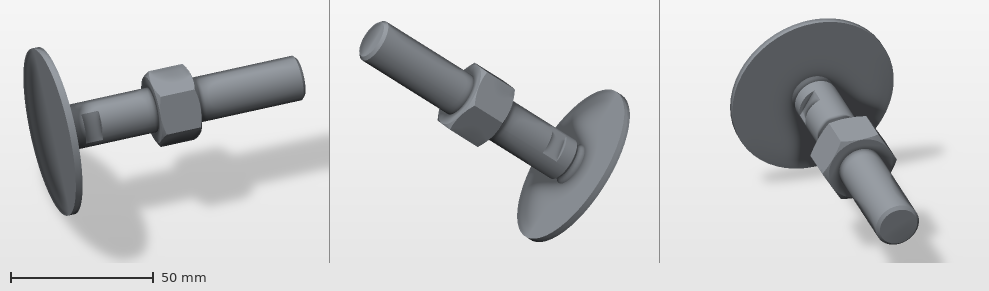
import cadquery as cq
import math

TOTAL_LENGTH = 92.0

PLATE_DIAMETER = 60.0
PLATE_THICKNESS = 2.5
NECK_BASE_DIAMETER = 15.6
NECK_TOP_DIAMETER = 11.2

STUD_DIAMETER = 16.0
STUD_START = 5.0
STUD_LENGTH = TOTAL_LENGTH - STUD_START
STUD_CHAMFER = 1.1
FLAT_START = 10.9
FLAT_LENGTH = 6.3
ACROSS_STUD_FLATS = 12.0
FLAT_ANGLE = 30.0

NUT_START = 37.5
NUT_HEIGHT = 14.8
NUT_ACROSS_FLATS = 24.0
NUT_ACROSS_CORNERS = NUT_ACROSS_FLATS / math.cos(math.radians(30))
NUT_FACE_DIAMETER = 23.7
NUT_CHAMFER_ANGLE = 30.0


def plane_at(y):
    """Plane across the axis at height y, extruding towards +Y."""
    return cq.Workplane(cq.Plane(origin=(0, y, 0), xDir=(1, 0, 0), normal=(0, 1, 0)))


def revolve_about_y(profile):
    """Revolve a list of (radius, y) points around the Y axis."""
    return cq.Workplane("XY").polyline(profile).close().revolve(360, (0, 0, 0), (0, 1, 0))


def make_foot():
    return revolve_about_y([
        (0, 0),
        (PLATE_DIAMETER / 2, 0),
        (PLATE_DIAMETER / 2, PLATE_THICKNESS),
        (NECK_BASE_DIAMETER / 2, PLATE_THICKNESS),
        (NECK_TOP_DIAMETER / 2, STUD_START),
        (0, STUD_START),
    ])


def make_stud():
    rod = plane_at(STUD_START).circle(STUD_DIAMETER / 2).extrude(STUD_LENGTH)
    rod = rod.faces("<Y or >Y").chamfer(STUD_CHAMFER)

    for side in (-1, 1):
        cutter_center = side * (ACROSS_STUD_FLATS + STUD_DIAMETER) / 2
        cutter = (
            plane_at(FLAT_START)
            .center(cutter_center, 0)
            .rect(STUD_DIAMETER, STUD_DIAMETER)
            .extrude(FLAT_LENGTH)
            .rotate((0, 0, 0), (0, 1, 0), -FLAT_ANGLE)
        )
        rod = rod.cut(cutter)
    return rod


def make_nut():
    corner_radius = NUT_ACROSS_CORNERS / 2
    face_radius = NUT_FACE_DIAMETER / 2
    chamfer_height = (corner_radius - face_radius) * math.tan(math.radians(NUT_CHAMFER_ANGLE))
    nut_end = NUT_START + NUT_HEIGHT

    hexagon = plane_at(NUT_START).polygon(6, NUT_ACROSS_CORNERS).extrude(NUT_HEIGHT)

    envelope = revolve_about_y([
        (0, NUT_START),
        (face_radius, NUT_START),
        (corner_radius, NUT_START + chamfer_height),
        (corner_radius, nut_end - chamfer_height),
        (face_radius, nut_end),
        (0, nut_end),
    ])
    bore = plane_at(NUT_START).circle(STUD_DIAMETER / 2).extrude(NUT_HEIGHT)
    return hexagon.intersect(envelope).cut(bore)


foot = make_foot()
stud = make_stud()
nut = make_nut()

result = cq.Compound.makeCompound([foot.solids().val(), stud.solids().val(), nut.solids().val()])